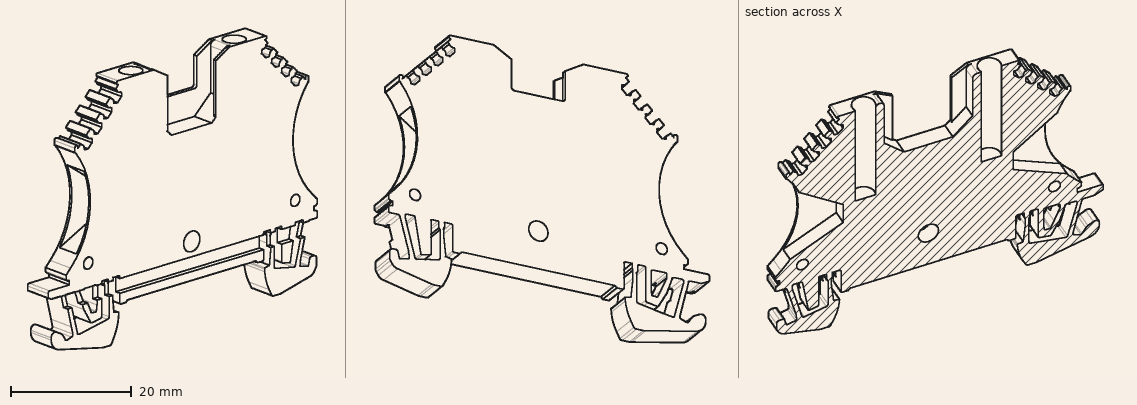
import cadquery as cq
import math


DIAGONAL = math.sqrt(0.5)

THICKNESS = 5.1
HEIGHT = 46.25
HALF_LENGTH = 28.0
ARM_REACH = 32.0

NOTCH_HALF = 5.0
NOTCH_FLOOR = 38.7
NOTCH_CORNER_RADIUS = 0.5
NOTCH_SHOULDER = 44.3
CHAMFER_START = 8.4
FLANK_ARC_RADIUS = 15.0
FLANK_WAIST = 22.57
FLANK_WAIST_Z = 26.4
FLANK_TOP = 26.04
FLANK_TOP_Z = 35.84
TIP_HEIGHT = 1.2
TIP_WIDTH = 0.7
TOP_FACE_HALF = 16.75
LUG_GROOVE_DEPTH = 0.75
LUG_GROOVE_TOP = 13.64
LUG_GROOVE_BOTTOM = 12.88
LEG_ROOT = 11.83
BASE_HALF = 16.0
BASE_Z = 6.74
BASE_RECESS_HALF = 14.3
BASE_RECESS_Z = 7.1

TOOTH_STEP = 2.19
TOOTH_PITCH = TOOTH_STEP * math.sqrt(2)
TOOTH_CENTRE = (18.09, 42.67)
HEAD_RADIUS = 0.78
HEAD_HALF_FLAT = 0.70
GROOVE_DEPTH = 1.29
NECK_HALF = 0.37
NECK_RADIUS = 0.2
GROOVE_COUNT = 4

ARM_UNDERSIDE = 10.92
LUG_UNDERSIDE = 11.44
INNER_LEG_AND_HEEL = [
    (17.5, LEG_ROOT + 0.5),
    (17.5, 11.0),
    (17.68, 10.6),
    (17.68, 9.2),
    (17.3, 5.64),
    (16.2, 5.4, 0.15),
    (16.4, 3.0, 9.0),
    (17.95, 0, 0.5),
    (19.75, 0, 2.0),
]
SLOT_WALL = 18.38
SLOT_FLOOR = 4.83
SLOT_LEG_WALL = [
    (SLOT_WALL + 0.22, LEG_ROOT, 0.25),
    (SLOT_WALL + 0.22, 10.6),
    (SLOT_WALL, 10.3),
]
TONGUE_EDGE = 20.03
TONGUE_END = 5.35

CENTRE_HOLE_DIA = 3.6
CENTRE_HOLE_Z = 14.0
PIN_HOLE_DIA = 2.05
PIN_HOLE_Y = 23.05
PIN_HOLE_Z = 15.7

SCREW_DIA = 4.0
SCREW_X = 2.8
SCREW_Y = 11.5
SCREW_DEPTH = 20.0

TOP_POCKET_X = (0.8, 4.5)
TOP_POCKET_HALF = 8.05
TOP_POCKET_ROUND = 0.9
TOP_POCKET_FLOOR = 33.8
TOP_POCKET_FLOOR_HALF = 4.45
TOP_POCKET_SLOPE_Z = 37.1
FAR_NOTCH_HALF = 5.4

FUNNEL_X = (0.5, 4.7)
FUNNEL_MOUTH = (17.75, 31.9)
FUNNEL_BACK = (22.3, 26.2)
FUNNEL_BACK_Y = 15.6

CHANNEL_X = 4.05
CHANNEL_Z = (8.7, 11.3)

PROFILE = cq.Plane(origin=(0, 0, 0), xDir=(0, -1, 0), normal=(-1, 0, 0))
ARM_SIDE = 1
PLAIN_SIDE = -1
SIDES = (ARM_SIDE, PLAIN_SIDE)


def rounded_outline(points, plane):
    """Closed wire through corners (a, b) or (a, b, radius) with tangent arcs."""
    pieces = []
    for i, corner in enumerate(points):
        here = cq.Vector(corner[0], corner[1])
        if len(corner) == 2:
            pieces.append((here, None, here))
            continue
        before = points[i - 1]
        after = points[(i + 1) % len(points)]
        to_before = (cq.Vector(before[0], before[1]) - here).normalized()
        to_after = (cq.Vector(after[0], after[1]) - here).normalized()
        half_angle = to_before.getAngle(to_after) / 2
        setback = corner[2] / math.tan(half_angle)
        apex_gap = corner[2] / math.sin(half_angle) - corner[2]
        middle = here + (to_before + to_after).normalized() * apex_gap
        pieces.append((here + to_before * setback, middle, here + to_after * setback))

    outline = cq.Workplane(plane).moveTo(*pieces[0][2].toTuple()[:2])
    for start, middle, end in pieces[1:] + pieces[:1]:
        outline = outline.lineTo(*start.toTuple()[:2])
        if middle is not None:
            outline = outline.threePointArc(middle.toTuple()[:2], end.toTuple()[:2])
    return outline.close()


def slab(points, side, x_range=(0, THICKNESS)):
    """Prism of a rounded outline placed on one side of the housing."""
    placed = [(side * p[0],) + tuple(p[1:]) for p in points]
    plane = cq.Plane(origin=(x_range[0], 0, 0), xDir=PROFILE.xDir, normal=PROFILE.zDir)
    return rounded_outline(placed, plane).extrude(x_range[0] - x_range[1])


def tooth_flat_point(distance):
    """Point on the line of the tooth tops, at a distance along the 45 degree slope."""
    centre_y, centre_z = TOOTH_CENTRE
    return (centre_y + (HEAD_RADIUS + distance) * DIAGONAL,
            centre_z + (HEAD_RADIUS - distance) * DIAGONAL)


def housing_half(side):
    """Half of the housing, without the grooves between the teeth."""
    first_tip = tooth_flat_point(HEAD_HALF_FLAT - TOOTH_PITCH)
    last_flat = tooth_flat_point((GROOVE_COUNT - 1) * TOOTH_PITCH)
    tip_z = FLANK_TOP_Z + TIP_HEIGHT
    lug_in = HALF_LENGTH - LUG_GROOVE_DEPTH
    points = [
        (0, NOTCH_FLOOR),
        (NOTCH_HALF, NOTCH_FLOOR, NOTCH_CORNER_RADIUS),
        (NOTCH_HALF, NOTCH_SHOULDER),
        (CHAMFER_START, HEIGHT),
        (TOP_FACE_HALF, HEIGHT, 0.35),
        (TOP_FACE_HALF, HEIGHT - 0.38),
        (TOP_FACE_HALF - 0.36, HEIGHT - 0.72),
        first_tip,
        last_flat,
        (FLANK_TOP - TIP_WIDTH, tip_z - 0.55),
        (FLANK_TOP - TIP_WIDTH, tip_z, 0.15),
        (FLANK_TOP, tip_z, 0.35),
        (FLANK_TOP, FLANK_TOP_Z),
        (HALF_LENGTH, FLANK_TOP_Z),
        (HALF_LENGTH, LUG_GROOVE_TOP + 0.35, 0.2),
        (HALF_LENGTH - 0.4, LUG_GROOVE_TOP),
        (lug_in, LUG_GROOVE_TOP),
        (lug_in, LEG_ROOT),
        (BASE_HALF, LEG_ROOT, 0.35),
        (BASE_HALF, BASE_Z, 0.25),
        (BASE_RECESS_HALF + (BASE_RECESS_Z - BASE_Z), BASE_Z),
        (BASE_RECESS_HALF, BASE_RECESS_Z),
        (0, BASE_RECESS_Z),
    ]
    return slab(points, side).cut(flank_cut(side))


def flank_reach(height):
    """Outward position of the flank arc at a given height."""
    rise = height - FLANK_WAIST_Z
    centre = FLANK_WAIST + FLANK_ARC_RADIUS
    return centre - math.sqrt(FLANK_ARC_RADIUS ** 2 - rise ** 2)


def flank_cut(side):
    """Concave finger recess: an arc that runs out along a 45 degree tangent."""
    centre = FLANK_WAIST + FLANK_ARC_RADIUS
    drop = FLANK_ARC_RADIUS * DIAGONAL
    tangent = (centre - drop, FLANK_WAIST_Z - drop)
    clear = 3.0
    run = HALF_LENGTH + clear - tangent[0]
    return (
        cq.Workplane(PROFILE)
        .moveTo(side * (HALF_LENGTH + clear), FLANK_TOP_Z)
        .lineTo(side * flank_reach(FLANK_TOP_Z), FLANK_TOP_Z)
        .threePointArc((side * FLANK_WAIST, FLANK_WAIST_Z), (side * tangent[0], tangent[1]))
        .lineTo(side * (HALF_LENGTH + clear), tangent[1] - run)
        .close()
        .extrude(-THICKNESS)
    )


def tooth_groove(side, index):
    """Undercut groove between two mushroom-shaped teeth."""
    centre_y, centre_z = TOOTH_CENTRE
    middle = (index - 0.5) * TOOTH_STEP
    plane = cq.Plane(
        origin=(0, -side * (centre_y + middle), centre_z - middle),
        xDir=(0, -side * DIAGONAL, -DIAGONAL),
        normal=(-side, 0, 0),
    )
    half_pitch = TOOTH_PITCH / 2
    lip = half_pitch - HEAD_HALF_FLAT
    lip_z = math.sqrt(HEAD_RADIUS ** 2 - HEAD_HALF_FLAT ** 2)
    clear = 0.5
    bulge = half_pitch - HEAD_RADIUS
    wall = half_pitch - HEAD_RADIUS * DIAGONAL
    wall_z = -HEAD_RADIUS * DIAGONAL
    neck = half_pitch - NECK_HALF
    neck_z = wall_z - (neck - wall)
    neck_setback = NECK_RADIUS * DIAGONAL
    neck_apex = neck - NECK_RADIUS * (math.sqrt(2) - 1)
    floor_half = neck - (GROOVE_DEPTH + neck_z)
    groove = (
        cq.Workplane(plane)
        .moveTo(-lip, HEAD_RADIUS + clear)
        .lineTo(-lip, lip_z)
        .threePointArc((-bulge, 0), (-wall, wall_z))
        .lineTo(-neck + neck_setback, neck_z + neck_setback)
        .threePointArc((-neck_apex, neck_z), (-neck + neck_setback, neck_z - neck_setback))
        .lineTo(-floor_half, -GROOVE_DEPTH)
        .lineTo(floor_half, -GROOVE_DEPTH)
        .lineTo(neck - neck_setback, neck_z - neck_setback)
        .threePointArc((neck_apex, neck_z), (neck - neck_setback, neck_z + neck_setback))
        .lineTo(wall, wall_z)
        .threePointArc((bulge, 0), (lip, lip_z))
        .lineTo(lip, HEAD_RADIUS + clear)
        .close()
    )
    return groove.extrude(-side * THICKNESS)


def arm_foot():
    """Foot on the -Y end, carrying the release arm and two windows."""
    outline = [
        *INNER_LEG_AND_HEEL,
        (31.3, 2.35, 2.2),
        (31.3, 5.85, 0.8),
        (28.9, 4.6, 1.0),
        (27.95, 3.2, 0.2),
        (26.4, 3.7, 0.4),
        (26.8, 5.4),
        (28.15, ARM_UNDERSIDE, 0.3),
        (30.4, ARM_UNDERSIDE, 1.5),
        (ARM_REACH, 11.65, 0.2),
        (ARM_REACH, LUG_GROOVE_BOTTOM, 0.4),
        (26.0, LUG_GROOVE_BOTTOM),
    ]
    slot = [
        *SLOT_LEG_WALL,
        (SLOT_WALL, SLOT_FLOOR, 0.4),
        (25.35, 3.6, 0.3),
        (27.3, ARM_UNDERSIDE, 0.4),
        (25.1, ARM_UNDERSIDE, 0.4),
        (24.05, 7.8),
        (22.4, 4.95, 0.3),
        (TONGUE_EDGE, TONGUE_END, 0.4),
        (TONGUE_EDGE, LEG_ROOT, 0.25),
    ]
    window = [
        (21.1, LUG_UNDERSIDE, 0.3),
        (24.03, LUG_UNDERSIDE, 0.3),
        (24.03, 10.6),
        (22.94, 8.14),
        (22.3, 6.72, 0.2),
        (21.25, 6.72, 0.1),
        (21.1, 7.9),
    ]
    return slab(outline, ARM_SIDE).cut(slab(slot, ARM_SIDE)).cut(slab(window, ARM_SIDE))


def plain_foot():
    """Foot on the +Y end, with a single U-shaped slot."""
    outline = [
        *INNER_LEG_AND_HEEL,
        (27.0, 1.65, 1.5),
        (27.82, 3.0, 1.0),
        (27.82, 4.95, 0.6),
        (26.35, 4.95, 0.4),
        (25.95, 3.4, 0.15),
        (24.1, 3.8, 0.3),
        (24.25, 5.1),
        (25.95, LUG_UNDERSIDE, 0.5),
        (HALF_LENGTH, LUG_UNDERSIDE, 0.3),
        (HALF_LENGTH, 12.6, 0.2),
        (27.5, LUG_GROOVE_BOTTOM),
        (26.0, LUG_GROOVE_BOTTOM),
    ]
    slot = [
        *SLOT_LEG_WALL,
        (SLOT_WALL, SLOT_FLOOR, 0.4),
        (23.0, 3.95, 0.3),
        (24.85, 11.0),
        (24.85, LEG_ROOT, 0.25),
        (23.1, LEG_ROOT, 0.25),
        (21.95, 5.0, 0.2),
        (TONGUE_EDGE, TONGUE_END, 0.4),
        (TONGUE_EDGE, LEG_ROOT, 0.1),
    ]
    return slab(outline, PLAIN_SIDE).cut(slab(slot, PLAIN_SIDE))


def cross_hole(diameter, outward, height):
    """Round hole through the thickness."""
    return cq.Workplane(PROFILE).center(outward, height).circle(diameter / 2).extrude(-THICKNESS)


def screw_hole(side):
    """Blind round hole sunk from the top face."""
    top = cq.Workplane("XY", origin=(SCREW_X, side * SCREW_Y, HEIGHT))
    return top.circle(SCREW_DIA / 2).extrude(-SCREW_DEPTH)


def top_pocket():
    """Central pocket below the notch, with sloped ends, open through the +X wall."""
    lip = TOP_POCKET_HALF + TOP_POCKET_ROUND
    lip_start_z = HEIGHT - TOP_POCKET_ROUND
    lip_bow = TOP_POCKET_ROUND * (1 - DIAGONAL)
    plane = cq.Plane(origin=(TOP_POCKET_X[0], 0, 0), xDir=PROFILE.xDir, normal=PROFILE.zDir)
    pocket = (
        cq.Workplane(plane)
        .moveTo(-TOP_POCKET_FLOOR_HALF, TOP_POCKET_FLOOR)
        .lineTo(TOP_POCKET_FLOOR_HALF, TOP_POCKET_FLOOR)
        .lineTo(TOP_POCKET_HALF, TOP_POCKET_SLOPE_Z)
        .lineTo(TOP_POCKET_HALF, lip_start_z)
        .threePointArc((TOP_POCKET_HALF + lip_bow, HEIGHT - lip_bow), (lip, HEIGHT))
        .lineTo(-lip, HEIGHT)
        .threePointArc((-TOP_POCKET_HALF - lip_bow, HEIGHT - lip_bow), (-TOP_POCKET_HALF, lip_start_z))
        .lineTo(-TOP_POCKET_HALF, TOP_POCKET_SLOPE_Z)
        .close()
    )
    opening = cq.Workplane("XY").box(
        THICKNESS - TOP_POCKET_X[1], 2 * FAR_NOTCH_HALF, HEIGHT, centered=(False, True, False)
    ).translate((TOP_POCKET_X[1], 0, 0))
    through = pocket.extrude(TOP_POCKET_X[0] - THICKNESS)
    inner_limit = cq.Workplane("XY").box(
        TOP_POCKET_X[1], 2 * HALF_LENGTH, HEIGHT, centered=(False, True, False)
    )
    return through.intersect(inner_limit.union(opening))


def wire_funnel(side):
    """Tapered wire entry in the flank, narrowing to a flat end wall."""
    points = [
        (HALF_LENGTH, FUNNEL_MOUTH[0]),
        (flank_reach(FUNNEL_MOUTH[0]), FUNNEL_MOUTH[0]),
        (FUNNEL_BACK_Y, FUNNEL_BACK[0]),
        (FUNNEL_BACK_Y, FUNNEL_BACK[1]),
        (flank_reach(FUNNEL_MOUTH[1]), FUNNEL_MOUTH[1]),
        (HALF_LENGTH, FUNNEL_MOUTH[1]),
    ]
    return slab(points, side, FUNNEL_X)


def lengthwise_channel():
    """Channel along the whole +X face, across the housing and both feet."""
    length = 2 * ARM_REACH
    depth = THICKNESS - CHANNEL_X
    channel = cq.Workplane("XY").box(
        depth, length, CHANNEL_Z[1] - CHANNEL_Z[0], centered=(False, True, False)
    )
    return channel.translate((CHANNEL_X, 0, CHANNEL_Z[0]))


block = housing_half(ARM_SIDE).union(housing_half(PLAIN_SIDE))
for flank in SIDES:
    for groove_index in range(GROOVE_COUNT):
        block = block.cut(tooth_groove(flank, groove_index))
block = block.union(arm_foot()).union(plain_foot())

block = block.cut(cross_hole(CENTRE_HOLE_DIA, 0, CENTRE_HOLE_Z))
block = block.cut(top_pocket())
for flank in SIDES:
    block = block.cut(cross_hole(PIN_HOLE_DIA, flank * PIN_HOLE_Y, PIN_HOLE_Z))
    block = block.cut(screw_hole(flank))
    block = block.cut(wire_funnel(flank))
result = block.cut(lengthwise_channel())